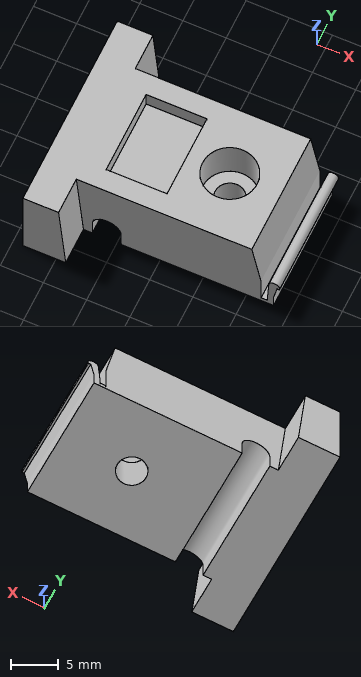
import cadquery as cq
import math

height = 10.0
flange_width = 23.7
body_width = 14.8

flange_top_length = 4.15
flange_base_length = 5.0

body_top_end = 24.48
body_end = 25.55
slope_bottom = 4.02

clip_tip = 27.72
clip_floor = 0.6
clip_base_inner = 26.25
clip_base_outer = 27.0
clip_bend_height = 1.8
head_radius = 0.65
head_center_x = clip_tip - head_radius
head_center_z = 4.05
lip_inner_x = 27.4
lip_height = 3.77

channel_start = 6.02
channel_width = 3.3
channel_height = 3.71

pocket_start = 6.51
pocket_length = 7.05
pocket_width = 10.0
pocket_depth = 2.0

hole_x = 18.52
hole_diameter = 3.4
counterbore_diameter = 6.3
counterbore_depth = 5.0


def extrude_across(profile, width):
    """Extrude an XZ profile symmetrically about Y = 0."""
    return profile.close().extrude(width / 2, both=True)


def make_flange():
    profile = (
        cq.Workplane("XZ")
        .lineTo(flange_base_length, 0)
        .lineTo(flange_top_length, height)
        .lineTo(0, height)
    )
    return extrude_across(profile, flange_width)


def make_body_with_clip():
    lip_outer_x = head_center_x + math.sqrt(head_radius**2 - (head_center_z - lip_height) ** 2)
    profile = (
        cq.Workplane("XZ")
        .lineTo(clip_base_outer, 0)
        .lineTo(clip_base_outer, clip_bend_height)
        .lineTo(lip_inner_x, lip_height)
        .lineTo(lip_outer_x, lip_height)
        .threePointArc(
            (head_center_x, head_center_z + head_radius),
            (head_center_x - head_radius, head_center_z),
        )
        .lineTo(clip_base_inner, clip_floor)
        .lineTo(body_end, clip_floor)
        .lineTo(body_end, slope_bottom)
        .lineTo(body_top_end, height)
        .lineTo(0, height)
    )
    return extrude_across(profile, body_width)


def make_channel():
    radius = channel_width / 2
    channel_end = channel_start + channel_width
    spring_height = channel_height - radius
    profile = (
        cq.Workplane("XZ")
        .moveTo(channel_start, 0)
        .lineTo(channel_end, 0)
        .lineTo(channel_end, spring_height)
        .threePointArc((channel_start + radius, channel_height), (channel_start, spring_height))
    )
    return extrude_across(profile, body_width)


def make_pocket():
    return (
        cq.Workplane("XY", origin=(pocket_start + pocket_length / 2, 0, height))
        .rect(pocket_length, pocket_width)
        .extrude(-pocket_depth)
    )


def make_counterbored_hole():
    top = cq.Workplane("XY", origin=(hole_x, 0, height))
    through_hole = top.circle(hole_diameter / 2).extrude(-height)
    counterbore = top.circle(counterbore_diameter / 2).extrude(-counterbore_depth)
    return through_hole.union(counterbore)


result = make_flange().union(make_body_with_clip())
for cutter in (make_channel(), make_pocket(), make_counterbored_hole()):
    result = result.cut(cutter)